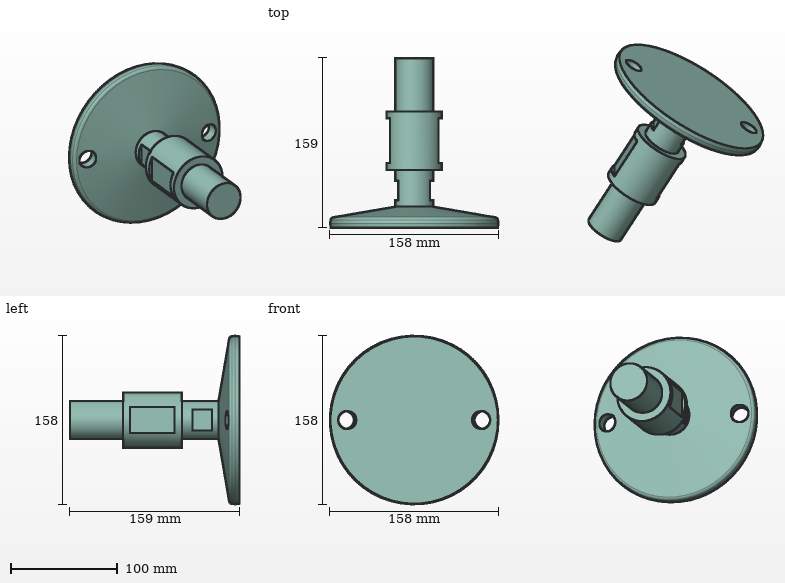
import cadquery as cq
import math

total_length = 159.0

foot_radius = 158.0 / 2
rim_bottom_radius = 78.4
rim_top_radius = 78.5
rim_widest_y = 4.1
rim_top_y = 7.3
shoulder_radius = 75.7
shoulder_y = 10.0
cone_top_y = 19.9

hole_diameter = 16.5
hole_offset = 62.6
hole_reach = 31.8

stem_radius = 36.0 / 2
stem_flat_distance = 15.0
stem_flat_start = 25.9
stem_flat_end = 44.0

sleeve_radius = 52.0 / 2
sleeve_start = 54.2
sleeve_length = 55.0
sleeve_flat_distance = 22.9
sleeve_end_band = 6.7

cone_angle = math.atan2(cone_top_y - shoulder_y, shoulder_radius - stem_radius)


def rim_corner_midpoint():
    """Middle of the arc that leaves the rim and ends tangent to the cone."""
    chord_x = rim_top_radius - shoulder_radius
    chord_y = shoulder_y - rim_top_y
    chord = math.hypot(chord_x, chord_y)
    tangent_turn = math.atan2(chord_y, chord_x) - cone_angle
    bulge = chord / 2 * math.tan(tangent_turn / 2)
    x = (rim_top_radius + shoulder_radius) / 2 + bulge * chord_y / chord
    y = (rim_top_y + shoulder_y) / 2 + bulge * chord_x / chord
    return (x, y)


def cut_flats(body, distance, radius, start, end):
    """Cut a pair of opposite wrench flats at X = +distance and X = -distance."""
    depth = radius - distance
    for side in (-1, 1):
        cutter = (
            cq.Workplane("XY")
            .box(2 * depth, end - start, 2 * radius)
            .translate((side * radius, (start + end) / 2, 0))
        )
        body = body.cut(cutter)
    return body


def drill_fixing_holes(body):
    """Drill two opposite holes that lean outwards toward the cone."""
    for side in (-1, 1):
        axis = cq.Vector(side * math.sin(cone_angle), math.cos(cone_angle), 0)
        center = cq.Vector(side * hole_offset, 0, 0)
        drill = cq.Solid.makeCylinder(
            hole_diameter / 2, 2 * hole_reach, center - axis * hole_reach, axis
        )
        body = body.cut(cq.Workplane(drill))
    return body


def make_foot():
    """Foot disc and stem turned from one profile, with holes and wrench flats."""
    body = (
        cq.Workplane("XY")
        .moveTo(0, 0)
        .lineTo(rim_bottom_radius, 0)
        .lineTo(foot_radius, rim_widest_y)
        .lineTo(rim_top_radius, rim_top_y)
        .threePointArc(rim_corner_midpoint(), (shoulder_radius, shoulder_y))
        .lineTo(stem_radius, cone_top_y)
        .lineTo(stem_radius, total_length)
        .lineTo(0, total_length)
        .close()
        .revolve(360, (0, 0, 0), (0, 1, 0))
    )
    body = drill_fixing_holes(body)
    return cut_flats(body, stem_flat_distance, stem_radius, stem_flat_start, stem_flat_end)


def make_sleeve():
    """Sleeve bored to fit the stem, with wrench flats between two full end bands."""
    sleeve_end = sleeve_start + sleeve_length
    body = (
        cq.Workplane("XZ", origin=(0, sleeve_end, 0))
        .circle(sleeve_radius)
        .circle(stem_radius)
        .extrude(sleeve_length)
    )
    return cut_flats(
        body,
        sleeve_flat_distance,
        sleeve_radius,
        sleeve_start + sleeve_end_band,
        sleeve_end - sleeve_end_band,
    )


foot = make_foot()
sleeve = make_sleeve()

result = cq.Compound.makeCompound([foot.solids().val(), sleeve.solids().val()])